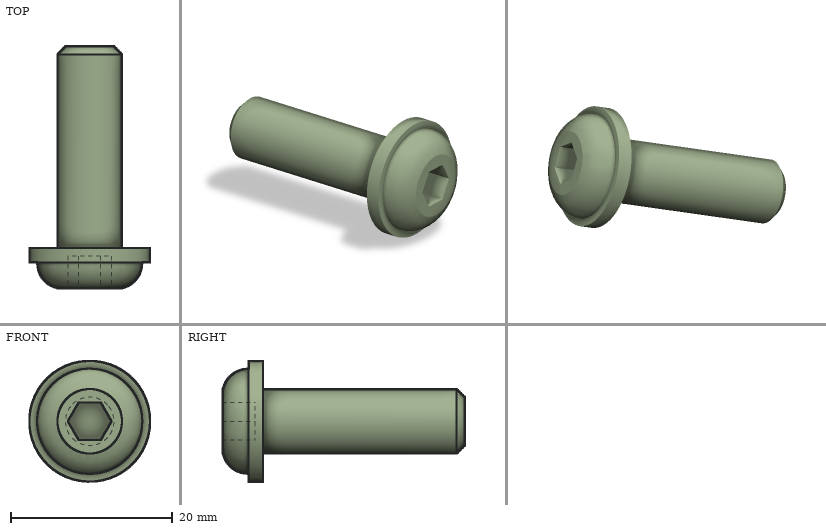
import cadquery as cq
import math

SHANK_DIAMETER = 8.0
SHANK_LENGTH = 25.0
TIP_CHAMFER = 1.0

FLANGE_DIAMETER = 15.0
FLANGE_THICKNESS = 1.8

HEAD_HEIGHT = 5.0
DOME_DIAMETER = 13.05
DOME_FLAT_DIAMETER = 8.0

SOCKET_ACROSS_FLATS = 4.7
SOCKET_DEPTH = 4.0


def dome_arc_midpoint(outer, inner):
    """Midpoint of the arc from outer to inner that leaves outer parallel to the axis."""
    (outer_radius, outer_y), (inner_radius, inner_y) = outer, inner
    inset = outer_radius - inner_radius
    rise = outer_y - inner_y
    arc_radius = (inset**2 + rise**2) / (2 * inset)
    half_sweep = math.atan2(rise, arc_radius - inset) / 2
    return (
        outer_radius - arc_radius * (1 - math.cos(half_sweep)),
        outer_y - arc_radius * math.sin(half_sweep),
    )


def make_body():
    """Revolve the half profile of dome, flange and shank about the Y axis."""
    shank_radius = SHANK_DIAMETER / 2
    flange_radius = FLANGE_DIAMETER / 2
    dome_base = (DOME_DIAMETER / 2, -FLANGE_THICKNESS)
    dome_rim = (DOME_FLAT_DIAMETER / 2, -HEAD_HEIGHT)
    profile = (
        cq.Workplane("XY")
        .moveTo(0, -HEAD_HEIGHT)
        .lineTo(*dome_rim)
        .threePointArc(dome_arc_midpoint(dome_base, dome_rim), dome_base)
        .lineTo(flange_radius, -FLANGE_THICKNESS)
        .lineTo(flange_radius, 0)
        .lineTo(shank_radius, 0)
        .lineTo(shank_radius, SHANK_LENGTH - TIP_CHAMFER)
        .lineTo(shank_radius - TIP_CHAMFER, SHANK_LENGTH)
        .lineTo(0, SHANK_LENGTH)
        .close()
    )
    return profile.revolve(360, (0, 0, 0), (0, 1, 0))


def make_socket():
    """Hexagonal key socket sunk from the head face, two corners on the X axis."""
    across_corners = SOCKET_ACROSS_FLATS / math.cos(math.pi / 6)
    return (
        cq.Workplane("XZ", origin=(0, -HEAD_HEIGHT, 0))
        .polygon(6, across_corners)
        .extrude(-SOCKET_DEPTH)
    )


result = make_body().cut(make_socket())